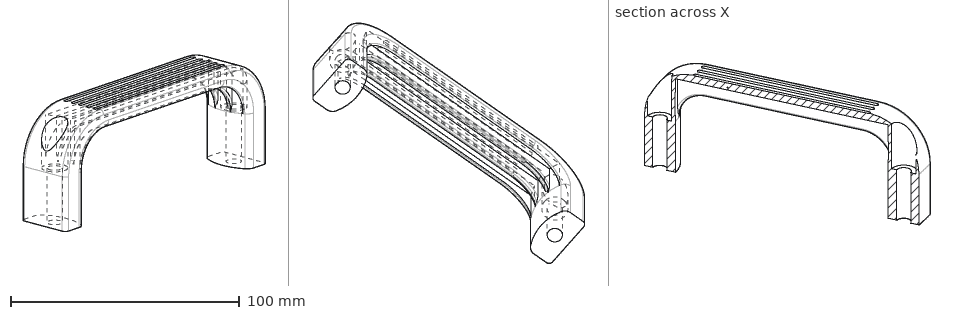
import cadquery as cq
import math

length = 133.0
width = 26.0
height = 50.0

leg_thickness = 15.2
bar_thickness = 11.5
outer_bend_radius = 25.0
inner_bend_radius = 13.3
outer_edge_fillet = 2.0

grip_depth = 6.3
grip_blend_radius = 4.0
trim_clearance = 1.3

hole_offset = 59.0
hole_diameter = 6.6
counterbore_diameter = 11.5
counterbore_floor = 25.0

groove_count = 5
groove_pitch = 4.3
groove_width = 1.9
groove_radius = 1.7
groove_end_y = 41.9

wall_thickness = 2.9
roof_thickness = 4.0
rib_count = 2
rib_thickness = 2.9
rib_edge_fillet = 1.0
rib_overrun = 1.3

half_length = length / 2
half_width = width / 2
inner_half_span = half_length - leg_thickness
inner_top = height - bar_thickness
inner_bend_start = inner_top - inner_bend_radius

blend_x = half_width - grip_blend_radius
crown_radius = (blend_x**2 + grip_depth**2 - grip_blend_radius**2) / (2 * (grip_depth - grip_blend_radius))

pocket_half_width = half_width - wall_thickness
pocket_roof = height - roof_thickness
pocket_width = (2 * pocket_half_width - rib_count * rib_thickness) / (rib_count + 1)
rib_pitch = pocket_width + rib_thickness


def arch_path(half_span, top, bend_radius):
    """Open path up one leg, over the bar and down the other leg, in the YZ plane."""
    diagonal = bend_radius * (1 - math.sqrt(0.5))
    return (
        cq.Workplane("YZ")
        .moveTo(-half_span, 0)
        .lineTo(-half_span, top - bend_radius)
        .threePointArc((-half_span + diagonal, top - diagonal), (-half_span + bend_radius, top))
        .lineTo(half_span - bend_radius, top)
        .threePointArc((half_span - diagonal, top - diagonal), (half_span, top - bend_radius))
        .lineTo(half_span, 0)
    )


def arch_block(half_span, top, bend_radius):
    """Solid round-shouldered block of full handle width."""
    return arch_path(half_span, top, bend_radius).close().extrude(half_width, both=True)


def grip_trim():
    """Waste outside the crowned grip side, swept along the inner face."""
    tangent_angle = math.asin(blend_x / (crown_radius - grip_blend_radius))
    tangent_x = crown_radius * math.sin(tangent_angle)
    tangent_depth = crown_radius * (1 - math.cos(tangent_angle))
    blend_angle = (tangent_angle + math.pi / 2) / 2
    blend_mid_x = blend_x + grip_blend_radius * math.sin(blend_angle)
    blend_mid_depth = grip_depth - grip_blend_radius * math.cos(blend_angle)
    outside_x = half_width + trim_clearance

    start = cq.Workplane("XY").center(0, -inner_half_span)
    profile = (
        start.moveTo(-half_width, -grip_depth)
        .threePointArc((-blend_mid_x, -blend_mid_depth), (-tangent_x, -tangent_depth))
        .threePointArc((0, 0), (tangent_x, -tangent_depth))
        .threePointArc((blend_mid_x, -blend_mid_depth), (half_width, -grip_depth))
        .lineTo(outside_x, -grip_depth)
        .lineTo(outside_x, trim_clearance)
        .lineTo(-outside_x, trim_clearance)
        .lineTo(-outside_x, -grip_depth)
        .close()
    )
    return profile.sweep(arch_path(inner_half_span, inner_top, inner_bend_radius))


def screw_hole(y):
    """Through hole with a flat-floored counterbore open to the top."""
    hole = cq.Workplane("XY").center(0, y).circle(hole_diameter / 2).extrude(height)
    counterbore = (
        cq.Workplane("XY", origin=(0, y, counterbore_floor))
        .circle(counterbore_diameter / 2)
        .extrude(height - counterbore_floor)
    )
    return hole.union(counterbore)


def groove(x):
    """Shallow round groove in the top face, closed by a spherical cap at each end."""
    center_z = height + math.sqrt(groove_radius**2 - (groove_width / 2) ** 2)
    cutter = (
        cq.Workplane("XZ", origin=(x, 0, center_z)).circle(groove_radius).extrude(groove_end_y, both=True)
    )
    for end_y in (-groove_end_y, groove_end_y):
        cap = cq.Workplane("XY", origin=(x, end_y, center_z)).sphere(groove_radius)
        cutter = cutter.union(cap)
    return cutter


def crown_depth(x):
    """Distance of the crown circle behind the inner face at offset x from mid-width."""
    return crown_radius - math.sqrt(crown_radius**2 - x**2)


def pocket_void():
    """Hollow under the bar whose end walls continue the crowned leg faces straight up."""
    side_y = inner_half_span + crown_depth(pocket_half_width)
    return (
        cq.Workplane("XY", origin=(0, 0, inner_bend_start))
        .moveTo(-pocket_half_width, -side_y)
        .threePointArc((0, -inner_half_span), (pocket_half_width, -side_y))
        .lineTo(pocket_half_width, side_y)
        .threePointArc((0, inner_half_span), (-pocket_half_width, side_y))
        .close()
        .extrude(pocket_roof - inner_bend_start)
    )


def rib(x):
    """Lengthwise rib between pockets, its rounded lower edge fading into the leg faces."""
    inset = crown_depth(abs(x) + rib_thickness / 2 - rib_edge_fillet)
    half_span = inner_half_span + inset
    lower_z = inner_top + inset
    plate = cq.Workplane("XY", origin=(x, 0, inner_bend_start)).box(
        rib_thickness,
        2 * (half_span + rib_overrun),
        pocket_roof + rib_overrun - inner_bend_start,
        centered=(True, True, False),
    )
    plate = plate.cut(arch_block(half_span, lower_z, inner_bend_radius + inset))
    lower_edges = cq.selectors.BoxSelector((-half_width, -half_span, 0), (half_width, half_span, pocket_roof))
    return plate.faces("<X or >X").edges(lower_edges).fillet(rib_edge_fillet)


handle = arch_block(half_length, height, outer_bend_radius)
outer_edges = handle.faces("<X or >X").edges("not <Z")
handle = outer_edges.fillet(outer_edge_fillet)
handle = handle.cut(arch_block(inner_half_span, inner_top, inner_bend_radius))
handle = handle.cut(grip_trim())

pockets = pocket_void()
for index in range(rib_count):
    pockets = pockets.cut(rib((index - (rib_count - 1) / 2) * rib_pitch))
handle = handle.cut(pockets)

for side in (-1, 1):
    handle = handle.cut(screw_hole(side * hole_offset))

for index in range(groove_count):
    handle = handle.cut(groove((index - (groove_count - 1) / 2) * groove_pitch))

result = handle